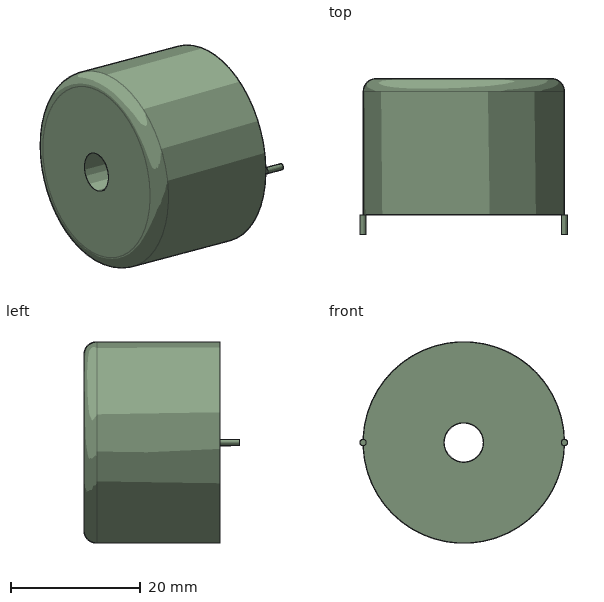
import cadquery as cq

overall_width = 32.0
overall_depth = 24.0
pin_diameter = 1.0
pin_length = 3.0
hole_diameter = 6.0
edge_radius = 2.0

body_diameter = overall_width - pin_diameter
body_depth = overall_depth - pin_length
pin_offset = body_diameter / 2


def make_body():
    """Cylinder along +Y with a rounded back rim and a central through hole."""
    body = cq.Workplane("XZ").circle(body_diameter / 2).extrude(-body_depth)
    body = body.faces(">Y").edges().fillet(edge_radius)
    hole = cq.Workplane("XZ").circle(hole_diameter / 2).extrude(-body_depth)
    return body.cut(hole)


def make_pins():
    """Two opposite round pins standing on the front face."""
    pin_centres = [(-pin_offset, 0), (pin_offset, 0)]
    return cq.Workplane("XZ").pushPoints(pin_centres).circle(pin_diameter / 2).extrude(pin_length)


result = make_body().union(make_pins())